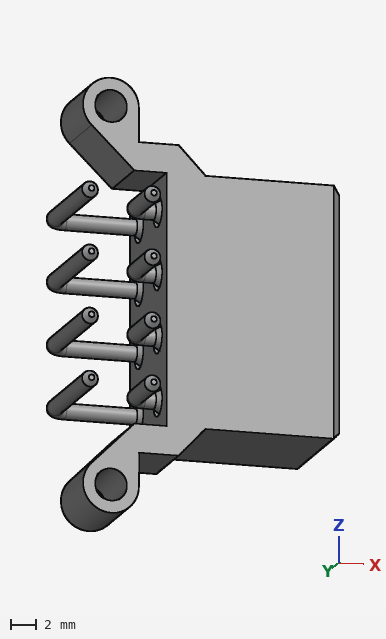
import cadquery as cq
import math


body_length = 14.2
body_depth = 9.85
body_height = 20.3
mating_chamfer = 0.63

overall_height = 34.9
lug_radius = 2.27
lug_hole_radius = 1.3
lug_center_x = -4.5
lug_center_z = overall_height / 2 - lug_radius
lug_thickness = 6.0
shelf_z = 12.45
shelf_end_x = 0.98
shoulder_end_x = 3.18
neck_corner_x = -2.62

pin_diameter = 1.3
pin_radius = pin_diameter / 2
pin_overhang = 7.7
pin_pitch = 5.05
pins_per_row = 4
tip_y = -3.28
tip_chamfer = 0.42
rear_leg_x = pin_radius - pin_overhang
front_leg_x = rear_leg_x + pin_pitch
front_bend_radius = 0.8
rear_bend_radius = 1.0
front_row_y = (body_depth - pin_pitch) / 2
rear_row_y = front_row_y + pin_pitch

root_start_x = -0.3
recess_radius = 1.2
root_half_angle = 30.0
recess_depth = root_start_x + (recess_radius - pin_radius) / math.tan(math.radians(root_half_angle))


def make_body():
    block = cq.Workplane("XY").box(body_length, body_depth, body_height, centered=(False, False, True))
    return block.faces(">X").chamfer(mating_chamfer)


def make_upper_lug():
    """Ear joined to the top of the housing, with an eyelet running along Y."""
    half_height = body_height / 2
    corner_dx = neck_corner_x - lug_center_x
    corner_dz = half_height - lug_center_z
    tangent_angle = math.atan2(corner_dz, corner_dx) - math.acos(lug_radius / math.hypot(corner_dx, corner_dz))
    tangent_x = lug_center_x + lug_radius * math.cos(tangent_angle)
    tangent_z = lug_center_z + lug_radius * math.sin(tangent_angle)
    outer_x = lug_center_x + lug_radius

    profile = (
        cq.Workplane("XZ")
        .moveTo(tangent_x, tangent_z)
        .lineTo(neck_corner_x, half_height)
        .lineTo(shoulder_end_x, half_height)
        .lineTo(shelf_end_x, shelf_z)
        .lineTo(outer_x, shelf_z)
        .lineTo(outer_x, lug_center_z)
        .threePointArc(
            (lug_center_x - lug_radius * math.sqrt(0.5), lug_center_z + lug_radius * math.sqrt(0.5)),
            (tangent_x, tangent_z),
        )
        .close()
    )
    eyelet_hole = cq.Workplane("XZ").center(lug_center_x, lug_center_z).circle(lug_hole_radius)
    return profile.extrude(-lug_thickness).cut(eyelet_hole.extrude(-lug_thickness))


def make_pin(row_y, leg_x, bend_radius):
    """Round pin leaving the housing along -X and bent down to -Y, at Z = 0."""
    bend_middle = bend_radius * (1 - math.sqrt(0.5))
    path = (
        cq.Workplane("XY")
        .moveTo(0, row_y)
        .lineTo(leg_x + bend_radius, row_y)
        .threePointArc((leg_x + bend_middle, row_y - bend_middle), (leg_x, row_y - bend_radius))
        .lineTo(leg_x, tip_y)
    )
    pin = cq.Workplane("YZ").center(row_y, 0).circle(pin_radius).sweep(path)
    return pin.faces("<Y").chamfer(tip_chamfer)


def make_pin_root(row_y):
    """Cone joining a pin to the floor of its recess, at Z = 0."""
    return (
        cq.Workplane("XY")
        .moveTo(root_start_x, row_y)
        .lineTo(root_start_x, row_y + pin_radius)
        .lineTo(recess_depth, row_y + recess_radius)
        .lineTo(recess_depth, row_y)
        .close()
        .revolve(360, (0, row_y, 0), (1, row_y, 0))
    )


def make_recess(row_y):
    """Round pocket in the pin face around one pin, at Z = 0."""
    return cq.Workplane("YZ").center(row_y, 0).circle(recess_radius).extrude(recess_depth)


upper_lug = make_upper_lug()
result = make_body().union(upper_lug).union(upper_lug.mirror("XY"))

for row_y, leg_x, bend_radius in (
    (front_row_y, front_leg_x, front_bend_radius),
    (rear_row_y, rear_leg_x, rear_bend_radius),
):
    recess = make_recess(row_y)
    pin = make_pin(row_y, leg_x, bend_radius).union(make_pin_root(row_y))
    for index in range(pins_per_row):
        pin_z = (index - (pins_per_row - 1) / 2) * pin_pitch
        spot = (0, 0, pin_z)
        result = result.cut(recess.translate(spot)).union(pin.translate(spot))